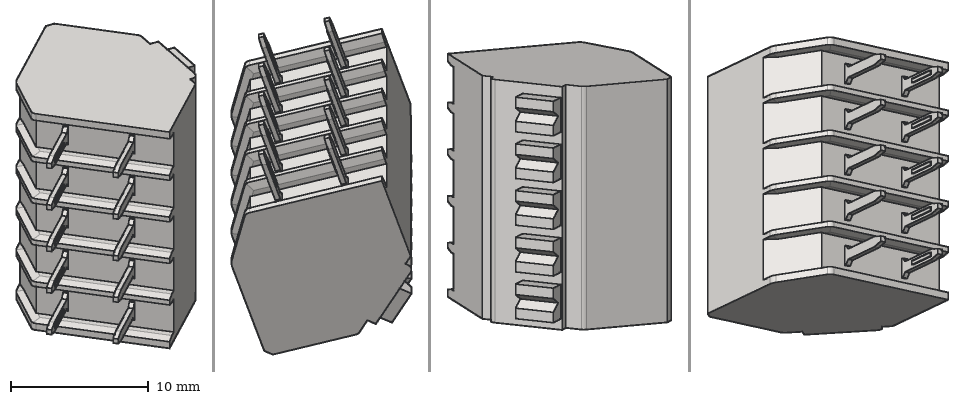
import cadquery as cq
import math

height = 18.2
width = 12.7
depth = 12.92
back_chamfer = 0.51
bevel_y = 4.08
bevel_angle = 60.0
bevel_run = bevel_y / math.tan(math.radians(bevel_angle))
back_round = 1.1
pin_side_round = 0.45

face_sum = 19.91
face_round = 0.5
band_start_x = 7.99
band_length = 5.86
band_rise = 0.7
band_round = 0.5
slope_embed = 0.36

poles = 5
pitch = 3.5
end_margin = (height - poles * pitch) / 2
rib_edge = 0.4
flare_rise = 0.16
flare_depth = 0.67
recess_front = 1.16
recess_bevel = 0.58

lever_gap = 0.11
lever_length = 3.02
lever_height = 1.27
lever_width = 2.58
groove_half_width = 0.51
groove_depth = 0.84

pin_x = (4.59, 9.6)
pin_thickness = 0.38
pin_end_y = -3.5
pin_half = 0.4
tip_length = 0.82
tip_half = 0.2
root_half = 0.75
root_end_y = 1.02
root_taper_end_y = 0.71
pin_embed = 0.18
bead_rise = 0.1
bead_height = 0.31
bead_y = (-2.64, -0.27)


def round_edge(body, x, y, radius):
    """Fillet the vertical edge that passes closest to (x, y)."""
    edge = body.edges("|Z").edges(cq.NearestToPointSelector((x, y, height / 2)))
    return edge.fillet(radius)


def prism(points, bottom, thickness):
    """Extrude an XY polygon upward from z = bottom."""
    return cq.Workplane("XY", origin=(0, 0, bottom)).polyline(points).close().extrude(thickness)


def on_slope(z):
    """Plane at height z: local x runs down the 45 degree face, local y points out of it."""
    start = (band_start_x, face_sum - band_start_x, z)
    return cq.Plane(origin=start, xDir=(1, -1, 0), normal=(0, 0, 1))


def slope_block(plane, start, end, top, thickness):
    """Block from start to end along the slope, reaching from below the slope up to top."""
    corners = [(start, -slope_embed), (end, -slope_embed), (end, top), (start, top)]
    return cq.Workplane(plane).polyline(corners).close().extrude(thickness)


def make_envelope():
    """Full-height solid with the outline of the end walls."""
    body = prism(
        [
            (0, bevel_y),
            (bevel_run, 0),
            (width, 0),
            (width, face_sum - width),
            (face_sum - depth, depth),
            (back_chamfer, depth),
            (0, depth - back_chamfer),
        ],
        0,
        height,
    )
    body = round_edge(body, 0, bevel_y, back_round)
    body = round_edge(body, bevel_run, 0, pin_side_round)
    body = round_edge(body, face_sum - depth, depth, face_round)
    slope = on_slope(0)
    band = slope_block(slope, 0, band_length, band_rise, height)
    corner = slope.toWorldCoords((band_length, band_rise))
    return body.union(round_edge(band, corner.x, corner.y, band_round))


def make_core():
    """Housing block with the bay walls as its pin side."""
    angle = math.radians(bevel_angle)
    wall_y = bevel_y + recess_bevel / math.cos(angle)
    wall_x = (wall_y - recess_front) / math.tan(angle)
    return prism(
        [(0, wall_y), (wall_x, recess_front), (width, recess_front), (width, depth), (0, depth)],
        0,
        height,
    )


def make_rib(z):
    """Plate centred on z that thickens inward from its outer edge."""
    reach = 2 * depth
    outline = [(0, reach), (0, bevel_y), (bevel_run, 0), (reach, 0), (reach, reach)]
    taper = math.degrees(math.atan(flare_depth / flare_rise))
    rib = prism(outline, z - rib_edge / 2, rib_edge)
    flare = (
        cq.Workplane("XY", origin=(0, 0, z + rib_edge / 2))
        .polyline(outline)
        .close()
        .extrude(flare_rise, taper=taper)
    )
    mirrored = flare.mirror("XY", (0, 0, z))
    return rib.union(flare).union(mirrored)


def make_lever(z):
    """Lever centred on z with a screwdriver groove in its top face."""
    top = band_rise + lever_height
    lever_end = lever_gap + lever_length
    lever = slope_block(on_slope(z - lever_width / 2), lever_gap, lever_end, top, lever_width)
    section = cq.Plane(origin=on_slope(z).origin, xDir=(0, 0, -1), normal=(1, -1, 0))
    groove = (
        cq.Workplane(section)
        .polyline([(-groove_half_width, top), (0, top - groove_depth), (groove_half_width, top)])
        .close()
        .extrude(lever_end)
    )
    return lever.cut(groove)


def make_pin(x, z, bead_side):
    """Flat pin with a wide root and a tapered tip; the bead faces +X or -X."""
    upper = [
        (recess_front + pin_embed, root_half),
        (root_end_y, root_half),
        (root_taper_end_y, pin_half),
        (pin_end_y + tip_length, pin_half),
        (pin_end_y, tip_half),
    ]
    lower = [(y, -half) for y, half in reversed(upper)]
    blade = (
        cq.Workplane("YZ", origin=(x, 0, z))
        .polyline(upper + lower)
        .close()
        .extrude(pin_thickness / 2, both=True)
    )
    bead_length = bead_y[1] - bead_y[0]
    bead_width = pin_thickness / 2 + bead_rise
    bead = cq.Workplane("XY").box(bead_width, bead_length, bead_height)
    bead_center = (x + bead_side * bead_width / 2, sum(bead_y) / 2, z)
    return blade.union(bead.translate(bead_center))


housing = make_core()
for index in range(poles + 1):
    housing = housing.union(make_rib(end_margin + index * pitch))
for wall_bottom in (0, height - end_margin):
    wall_outline = [(0, 0), (width, 0), (width, depth), (0, depth)]
    housing = housing.union(prism(wall_outline, wall_bottom, end_margin))
result = housing.intersect(make_envelope())

for index in range(poles):
    pole_z = end_margin + (index + 0.5) * pitch
    result = result.union(make_lever(pole_z))
    result = result.union(make_pin(pin_x[0], pole_z, 1))
    result = result.union(make_pin(pin_x[1], pole_z, -1))